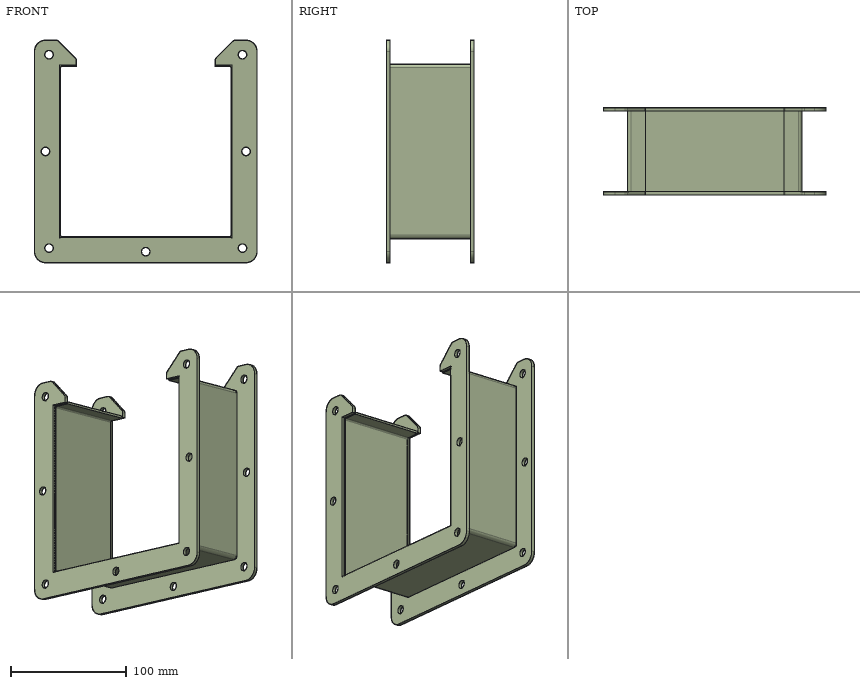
import cadquery as cq

SIZE = 193.7
DEPTH = 76.1
HALF = SIZE / 2

FLANGE_THICKNESS = 3.1
CORNER_RADIUS = 10.0
OPENING_HALF = 75.0
HOOK_TIP_X = 60.2
BEVEL_TOP_X = 76.7
BEVEL_RUN = BEVEL_TOP_X - HOOK_TIP_X
BEVEL_FILLET = 3.1

HOLE_DIAMETER = 7.2
CORNER_HOLE_OFFSET = 84.0
MIDDLE_HOLE_OFFSET = 87.2

SHEET_THICKNESS = 2.0
CHANNEL_OUTER_HALF = 76.0
CHANNEL_INNER_HALF = CHANNEL_OUTER_HALF - SHEET_THICKNESS
BEND_OUTER_RADIUS = 3.1
BEND_INNER_RADIUS = BEND_OUTER_RADIUS - SHEET_THICKNESS
CHANNEL_LENGTH = DEPTH - 2 * FLANGE_THICKNESS


def extrude_along_y(sketch, y_start, length):
    """Extrude an XZ outline towards +Y, starting at y_start."""
    return sketch.extrude(-length).translate((0, y_start, 0))


def mirrored_outline(right_side):
    """Close an outline whose right side is given from top to bottom and back up."""
    left_side = [(-x, z) for x, z in reversed(right_side)]
    return cq.Workplane("XZ").polyline(right_side + left_side).close()


def make_flange(y_start):
    """U-shaped plate with a bevelled hook at the top of each leg."""
    hook_tip_z = HALF - BEVEL_RUN
    outline = mirrored_outline([
        (HALF, -HALF),
        (HALF, HALF),
        (BEVEL_TOP_X, HALF),
        (HOOK_TIP_X, hook_tip_z),
        (HOOK_TIP_X, OPENING_HALF),
        (OPENING_HALF, OPENING_HALF),
        (OPENING_HALF, -OPENING_HALF),
    ])
    flange = extrude_along_y(outline, y_start, FLANGE_THICKNESS)

    y_mid = y_start + FLANGE_THICKNESS / 2
    outer_corners = [(x, z) for x in (-HALF, HALF) for z in (-HALF, HALF)]
    for x, z in outer_corners:
        corner = cq.selectors.NearestToPointSelector((x, y_mid, z))
        flange = flange.edges("|Y").edges(corner).fillet(CORNER_RADIUS)
    for side in (-1, 1):
        for x, z in ((BEVEL_TOP_X, HALF), (HOOK_TIP_X, hook_tip_z)):
            corner = cq.selectors.NearestToPointSelector((side * x, y_mid, z))
            flange = flange.edges("|Y").edges(corner).fillet(BEVEL_FILLET)

    return flange.cut(make_hole_cutters(y_start))


def make_hole_cutters(y_start):
    """Four corner holes plus one midway along each side and the bottom."""
    corner_offsets = (-CORNER_HOLE_OFFSET, CORNER_HOLE_OFFSET)
    centres = [(x, z) for x in corner_offsets for z in corner_offsets]
    centres += [(-MIDDLE_HOLE_OFFSET, 0), (MIDDLE_HOLE_OFFSET, 0), (0, -MIDDLE_HOLE_OFFSET)]
    circles = cq.Workplane("XZ").pushPoints(centres).circle(HOLE_DIAMETER / 2)
    return extrude_along_y(circles, y_start, FLANGE_THICKNESS)


def make_rounded_square(half_width, radius):
    """Square bar between the flanges with rounded long edges."""
    square = cq.Workplane("XZ").rect(2 * half_width, 2 * half_width)
    bar = extrude_along_y(square, -CHANNEL_LENGTH / 2, CHANNEL_LENGTH)
    return bar.edges("|Y").fillet(radius)


def make_channel():
    """Folded sheet: floor, two walls and two inward lips at the top."""
    tube = make_rounded_square(CHANNEL_OUTER_HALF, BEND_OUTER_RADIUS)
    tube = tube.cut(make_rounded_square(CHANNEL_INNER_HALF, BEND_INNER_RADIUS))
    lip_gap = cq.Workplane("XY").box(2 * HOOK_TIP_X, DEPTH, HALF, centered=(True, True, False))
    return tube.cut(lip_gap)


channel = make_channel()
flanges = [make_flange(y_start) for y_start in (-DEPTH / 2, DEPTH / 2 - FLANGE_THICKNESS)]

result = cq.Compound.makeCompound([channel.val(), *[flange.val() for flange in flanges]])